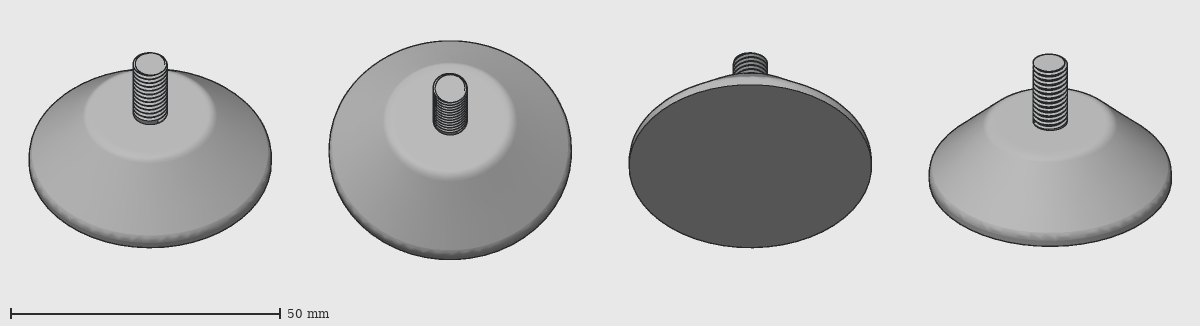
import cadquery as cq

base_diameter = 45.0
base_height = 13.0
rim_height = 2.02
rim_round = 2.0
shoulder_round = 3.0
edge_margin = 0.45

stud_height = 13.0
stud_diameter = 6.4
turns_per_stud = 13
thread_depth = 0.5
root_width = 0.25
crest_width = 0.15
overlap = 0.1

base_radius = base_diameter / 2
stud_radius = stud_diameter / 2
root_radius = stud_radius - thread_depth
pitch = stud_height / turns_per_stud


def make_base():
    top_radius = base_radius - (base_height - rim_height)
    outline = (
        cq.Workplane("XZ")
        .lineTo(base_radius, 0)
        .lineTo(base_radius, rim_height)
        .lineTo(top_radius, base_height)
        .lineTo(0, base_height)
        .close()
    )
    body = outline.revolve(360, (0, 0, 0), (0, 1, 0))
    body = body.faces(">Z").edges().fillet(shoulder_round)
    reach = base_diameter
    rim_edge = cq.selectors.BoxSelector(
        (-reach, -reach, rim_height - edge_margin),
        (reach, reach, rim_height + edge_margin),
        boundingbox=True,
    )
    return body.edges(rim_edge).fillet(rim_round)


def make_thread_groove():
    start_height = base_height + pitch / 2
    helix = cq.Wire.makeHelix(pitch, stud_height, root_radius, cq.Vector(0, 0, start_height))
    half_root = root_width / 2
    half_mouth = (pitch - crest_width) / 2
    flank_slope = (half_mouth - half_root) / thread_depth
    half_outer = half_mouth + flank_slope * overlap
    outer_radius = stud_radius + overlap
    profile = cq.Workplane("XZ").polyline([
        (root_radius, start_height - half_root),
        (outer_radius, start_height - half_outer),
        (outer_radius, start_height + half_outer),
        (root_radius, start_height + half_root),
    ]).close()
    return profile.sweep(cq.Workplane(helix), isFrenet=True)


def make_stud():
    stud = cq.Workplane("XY").workplane(offset=base_height).circle(stud_radius).extrude(stud_height)
    stud = stud.rotate((0, 0, 0), (0, 0, 1), 180)
    return stud.cut(make_thread_groove())


result = make_base().union(make_stud())